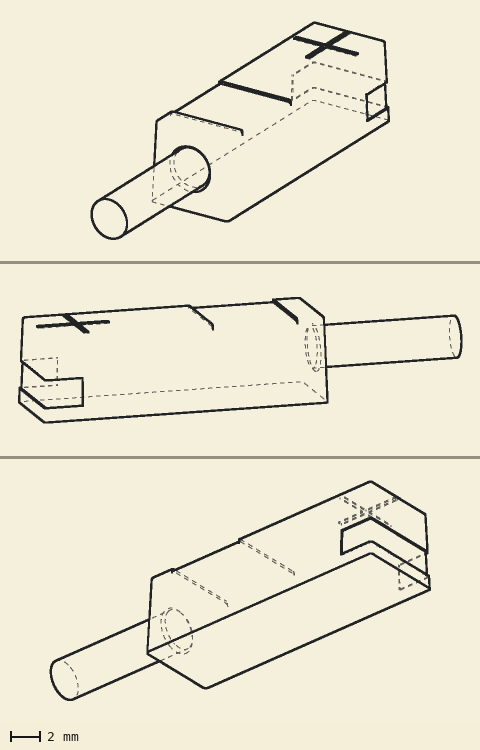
import cadquery as cq
import math

total_length = 30.2
body_width = 6.28
body_length = 20.23
body_height = 6.0
draft_angle = 2.0
front_corner_radius = 0.27
back_corner_radius = 0.18
top_edge_radius = 0.18

cable_diameter = 2.9
cable_height = 3.2
entry_diameter = 3.3

label_front = 2.17
label_length = 6.0
label_depth = 0.18

cross_span = 5.0
cross_width = 0.3
cross_depth = 0.1
cross_from_back = 3.17
cross_long_bar_shift = 0.2

clip_length = 2.75
clip_bottom = 1.0
clip_height = 1.93
clip_depth = 0.1

body_back = total_length / 2
body_front = body_back - body_length
body_center = body_back - body_length / 2
cable_end = -total_length / 2
draft_slope = math.tan(math.radians(draft_angle))


def drafted_block(height, inset=0.0):
    """Tapered, rounded block; inset pulls its side walls inward."""
    block = (
        cq.Workplane("XY")
        .center(0, body_center)
        .rect(body_width - 2 * inset, body_length - 2 * inset)
        .extrude(height, taper=draft_angle)
    )
    block = block.edges("not(|X or |Y)").edges("<Y").fillet(front_corner_radius)
    block = block.edges("not(|X or |Y)").edges(">Y").fillet(back_corner_radius)
    return block.faces(">Z").edges().fillet(top_edge_radius)


def slab(width, length, height, y_start, z_start):
    """Box centred on X, starting at the given Y and Z."""
    return (
        cq.Workplane("XY")
        .box(width, length, height, centered=(True, False, False))
        .translate((0, y_start, z_start))
    )


def cut_label(body):
    """Lower the top over the label, keeping its long edges rounded."""
    label_start = body_front + label_front
    zone = slab(2 * body_width, label_length, 2 * body_height, label_start, 0)
    lowered = drafted_block(body_height - label_depth).intersect(zone)
    return body.cut(zone).union(lowered)


def cut_cross(body):
    """Engrave two equal crossing grooves; the lengthwise one sits further back."""
    center_y = body_back - cross_from_back
    floor = body_height - cross_depth
    bars = (
        (cross_span, cross_width, center_y),
        (cross_width, cross_span, center_y + cross_long_bar_shift),
    )
    for width, length, bar_y in bars:
        body = body.cut(slab(width, length, cross_depth, bar_y - length / 2, floor))
    return body


def cut_clip_recess(body):
    """Sink the side and back walls evenly over the lower back end."""
    zone = slab(2 * body_width, 2 * clip_length, clip_height, body_back - clip_length, clip_bottom)
    return body.cut(zone.cut(drafted_block(body_height, clip_depth)))


def add_cable(body):
    """Countersink the front face at 45 degrees and run the cable out of it."""
    face_y = body_front + draft_slope * cable_height
    rim_radius = entry_diameter / 2
    base_y = body_front
    base_radius = rim_radius + face_y - base_y
    cone = cq.Workplane(
        obj=cq.Solid.makeCone(
            base_radius, 0, base_radius, cq.Vector(0, base_y, cable_height), cq.Vector(0, 1, 0)
        )
    )
    cable_start = face_y + rim_radius
    cable = (
        cq.Workplane("XZ", origin=(0, cable_start, cable_height))
        .circle(cable_diameter / 2)
        .extrude(cable_start - cable_end)
    )
    return body.cut(cone).union(cable)


body = drafted_block(body_height)
body = cut_label(body)
body = cut_cross(body)
body = cut_clip_recess(body)
result = add_cable(body)